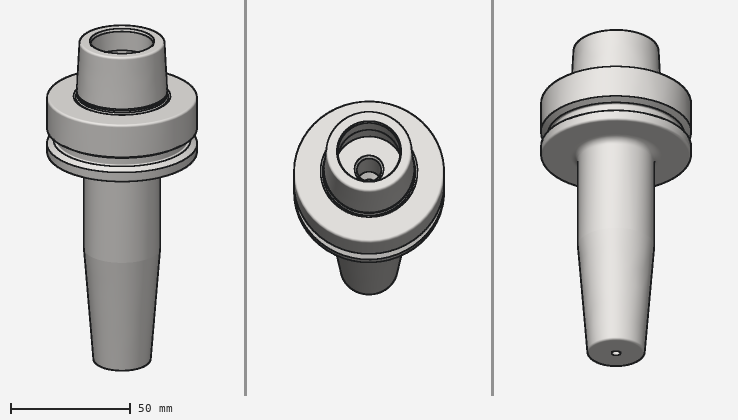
import cadquery as cq
import math

length = 145.0

flange_radius = 63.0 / 2
flange_height = 26.0
flange_rim_round = 1.0
groove_center_below_face = 18.0
groove_mouth_width = 7.0
groove_floor_width = 3.8
groove_floor_radius = 27.4
groove_flank_angle = 30.0
groove_corner_radius = 0.5

shank_radius = 32.0 / 2
shank_root_fillet = 3.0
cone_length = 51.0
cone_angle = 4.5
tip_fillet = 1.0

spigot_length = 25.0
spigot_base_radius = 19.0
spigot_taper = 1 / 20
spigot_rim_round = 1.0
taper_bottom = 2.0
neck_radius = 18.7
neck_top = 1.2
neck_bottom = 0.3
recess_depth = 0.5
recess_floor_radius = 19.5
recess_mouth_radius = 20.3

throat_radius = 13.0
lead_in_width = 0.5
lead_in_depth = 1.2
throat_depth = 9.7
chamber_radius = 14.5
chamber_depth = 22.0

screw_hole_radius = 5.1
screw_hole_chamfer = 1.0
screw_hole_depth = 17.4
drill_point_angle = 118.0
pilot_radius = 2.3
pilot_depth = 14.5
through_hole_radius = 1.9

face_z = length - spigot_length
flange_bottom_z = face_z - flange_height
chamber_floor_z = length - chamber_depth


def revolve_about_z(outline):
    """Turn a closed outline, drawn as (radius, height), about the Z axis."""
    return outline.close().revolve(360, (0, 0, 0), (0, 1, 0))


def make_shank():
    tip_radius = shank_radius - cone_length * math.tan(math.radians(cone_angle))
    root_z = flange_bottom_z - shank_root_fillet
    outline = (
        cq.Workplane("XZ")
        .lineTo(tip_radius, 0)
        .lineTo(shank_radius, cone_length)
        .lineTo(shank_radius, root_z)
        .radiusArc((shank_radius + shank_root_fillet, flange_bottom_z), shank_root_fillet)
        .lineTo(0, flange_bottom_z)
    )
    return revolve_about_z(outline).faces("<Z").edges().fillet(tip_fillet)


def make_flange():
    flange = (
        cq.Workplane("XY", origin=(0, 0, flange_bottom_z))
        .circle(flange_radius)
        .extrude(flange_height)
        .faces("<Z or >Z")
        .edges()
        .fillet(flange_rim_round)
    )
    return flange.cut(make_gripper_groove())


def make_gripper_groove():
    center_z = face_z - groove_center_below_face
    half_mouth = groove_mouth_width / 2
    half_floor = groove_floor_width / 2
    flank_depth = (half_mouth - half_floor) / math.tan(math.radians(groove_flank_angle))
    flank_radius = flange_radius - flank_depth
    outline = (
        cq.Workplane("XZ")
        .moveTo(groove_floor_radius, center_z - half_floor)
        .lineTo(flank_radius, center_z - half_floor)
        .lineTo(flange_radius, center_z - half_mouth)
        .lineTo(flange_radius, center_z + half_mouth)
        .lineTo(flank_radius, center_z + half_floor)
        .lineTo(groove_floor_radius, center_z + half_floor)
    )
    floor_edges = cq.selectors.RadiusNthSelector(0)
    return revolve_about_z(outline).edges(floor_edges).fillet(groove_corner_radius)


def make_spigot():
    rim_radius = spigot_base_radius - (spigot_length - taper_bottom) * spigot_taper
    outline = (
        cq.Workplane("XZ", origin=(0, 0, face_z))
        .moveTo(0, -recess_depth)
        .lineTo(recess_floor_radius, -recess_depth)
        .lineTo(neck_radius, neck_bottom)
        .lineTo(neck_radius, neck_top)
        .lineTo(spigot_base_radius, taper_bottom)
        .lineTo(rim_radius, spigot_length)
        .lineTo(0, spigot_length)
    )
    return revolve_about_z(outline).faces(">Z").edges().fillet(spigot_rim_round)


def make_relief_recess():
    outline = (
        cq.Workplane("XZ", origin=(0, 0, face_z))
        .lineTo(recess_mouth_radius, 0)
        .lineTo(recess_floor_radius, -recess_depth)
        .lineTo(0, -recess_depth)
    )
    return revolve_about_z(outline)


def make_clamping_bore():
    outline = (
        cq.Workplane("XZ", origin=(0, 0, length))
        .lineTo(throat_radius + lead_in_width, 0)
        .lineTo(throat_radius, -lead_in_depth)
        .lineTo(throat_radius, -throat_depth)
        .lineTo(chamber_radius, -throat_depth)
        .lineTo(chamber_radius, -chamber_depth)
        .lineTo(0, -chamber_depth)
    )
    return revolve_about_z(outline)


def make_center_hole():
    point_height = (screw_hole_radius - pilot_radius) / math.tan(math.radians(drill_point_angle / 2))
    pilot_top = -screw_hole_depth - point_height
    pilot_floor = pilot_top - pilot_depth
    outline = (
        cq.Workplane("XZ", origin=(0, 0, chamber_floor_z))
        .lineTo(screw_hole_radius + screw_hole_chamfer, 0)
        .lineTo(screw_hole_radius, -screw_hole_chamfer)
        .lineTo(screw_hole_radius, -screw_hole_depth)
        .lineTo(pilot_radius, pilot_top)
        .lineTo(pilot_radius, pilot_floor)
        .lineTo(through_hole_radius, pilot_floor)
        .lineTo(through_hole_radius, -chamber_floor_z)
        .lineTo(0, -chamber_floor_z)
    )
    return revolve_about_z(outline)


body = make_flange().cut(make_relief_recess()).union(make_shank()).union(make_spigot())
result = body.cut(make_clamping_bore()).cut(make_center_hole())